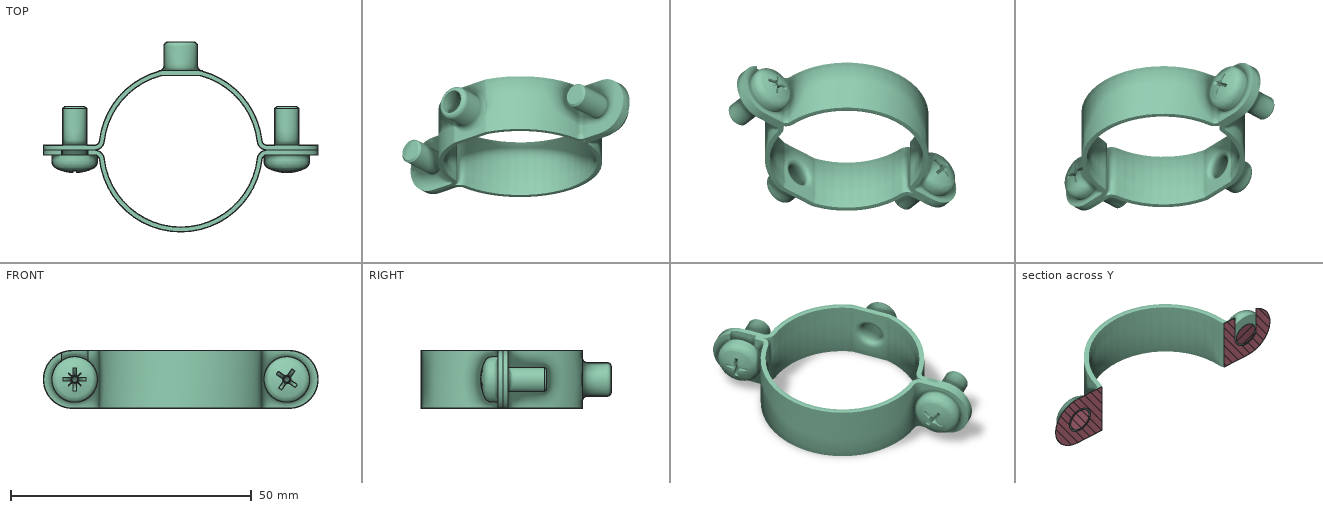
import cadquery as cq
import math


sheet = 1.0
band_height = 12.0
overall_length = 57.0
ring_radius = 17.0
ring_inner_radius = ring_radius - sheet
bend_inner = sheet
bend_outer = bend_inner + sheet

flat_outer = 16.5
flat_inner = flat_outer - sheet
boss_radius = 7.0 / 2
boss_bore_radius = 4.9 / 2
boss_end = 22.45
boss_end_fillet = 0.9
boss_root_fillet = 0.95

screw_offset = 22.0
shank_radius = 5.0 / 2
shank_tip_radius = 4.15 / 2
shank_end = 9.05
clearance_diameter = 5.5
head_radius = 9.45 / 2
head_height = 3.65
dome_radius = 8.55
head_fillet = 1.6
right_screw_turn = 35.0

arm_span = 4.8
arm_width = 0.75
arm_slope = 45.0
recess_depth = 2.05
socket_side = 1.7
socket_draft = 7.0
socket_point_depth = 2.5
mark_span = 3.65
mark_width = 0.1
mark_depth = 0.4

ORIGIN = (0.0, 0.0)
QUARTER = math.pi / 2
ear_bend_y = bend_outer
ear_bend_x = math.sqrt((ring_radius + bend_inner) ** 2 - ear_bend_y ** 2)
ear_angle = math.atan2(ear_bend_y, ear_bend_x)
flat_bend_y = flat_outer - bend_outer
flat_bend_x = math.sqrt((ring_radius - bend_outer) ** 2 - flat_bend_y ** 2)
flat_angle = math.atan2(flat_bend_y, flat_bend_x)


def on_circle(centre, radius, angle):
    """Point of a circle at an angle in radians."""
    return (centre[0] + radius * math.cos(angle), centre[1] + radius * math.sin(angle))


def arc_points(centre, radius, start, end):
    """Middle and end point of an arc, as threePointArc takes them."""
    return on_circle(centre, radius, (start + end) / 2), on_circle(centre, radius, end)


def half_band(has_flat):
    """Right-hand half of a band on the +Y side, with square ear ends."""
    flat_bend = (flat_bend_x, flat_bend_y)
    ear_bend = (ear_bend_x, ear_bend_y)
    ring_start = flat_angle if has_flat else QUARTER
    toward_ring = ear_angle + math.pi
    toward_ear = 3 * QUARTER

    if has_flat:
        outline = (
            cq.Workplane("XY")
            .moveTo(0, flat_outer)
            .lineTo(flat_bend_x, flat_outer)
            .threePointArc(*arc_points(flat_bend, bend_outer, QUARTER, flat_angle))
        )
    else:
        outline = cq.Workplane("XY").moveTo(0, ring_radius)
    outline = (
        outline
        .threePointArc(*arc_points(ORIGIN, ring_radius, ring_start, ear_angle))
        .threePointArc(*arc_points(ear_bend, bend_inner, toward_ring, toward_ear))
        .lineTo(overall_length / 2, sheet)
        .lineTo(overall_length / 2, 0)
        .lineTo(ear_bend_x, 0)
        .threePointArc(*arc_points(ear_bend, bend_outer, toward_ear, toward_ring))
        .threePointArc(*arc_points(ORIGIN, ring_inner_radius, ear_angle, ring_start))
    )
    if has_flat:
        outline = (
            outline
            .threePointArc(*arc_points(flat_bend, bend_inner, flat_angle, QUARTER))
            .lineTo(0, flat_inner)
        )
    return outline.close().extrude(band_height / 2, both=True)


def band(has_flat):
    """Whole band on the +Y side, with its ears rounded over the full band height."""
    half = half_band(has_flat)
    ear_rounding = (
        cq.Workplane("XZ")
        .slot2D(overall_length, band_height)
        .extrude(overall_length, both=True)
    )
    return half.union(half.mirror("YZ")).clean().intersect(ear_rounding)


def rod(radius, start, end):
    """Cylinder about the Y axis from Y = start to Y = end."""
    return cq.Workplane("XZ", origin=(0, start, 0)).circle(radius).extrude(start - end)


def boss():
    """Tube drawn out of the flat, with a flared root and a rounded end."""
    root_radius = boss_radius + boss_root_fillet
    end_radius = boss_radius - boss_end_fillet
    profile = (
        cq.Workplane("XY")
        .moveTo(0, flat_inner)
        .lineTo(root_radius, flat_inner)
        .lineTo(root_radius, flat_outer)
        .threePointArc(*arc_points(
            (root_radius, flat_outer + boss_root_fillet), boss_root_fillet, 3 * QUARTER, 2 * QUARTER))
        .lineTo(boss_radius, boss_end - boss_end_fillet)
        .threePointArc(*arc_points(
            (end_radius, boss_end - boss_end_fillet), boss_end_fillet, 0, QUARTER))
        .lineTo(0, boss_end)
        .close()
    )
    return profile.revolve(360, (0, 0), (0, 1))


def boss_bore():
    """Through bore of the boss, with a rounded mouth as wide as the boss."""
    mouth_fillet = boss_radius - boss_bore_radius
    profile = (
        cq.Workplane("XY")
        .moveTo(0, 0)
        .lineTo(boss_radius, 0)
        .lineTo(boss_radius, flat_inner)
        .threePointArc(*arc_points(
            (boss_radius, flat_inner + mouth_fillet), mouth_fillet, 3 * QUARTER, 2 * QUARTER))
        .lineTo(boss_bore_radius, boss_end)
        .lineTo(0, boss_end)
        .close()
    )
    return profile.revolve(360, (0, 0), (0, 1))


def make_upper_band():
    """Band with the boss and two close-fitting screw holes."""
    upper = band(True).union(boss()).cut(boss_bore())
    for side in (-1, 1):
        upper = upper.cut(rod(shank_radius, 0, sheet).translate((side * screw_offset, 0, 0)))
    return upper


def make_lower_band():
    """Band with a screw hole on the right and a hook slot, open upward, on the left."""
    lower = band(False).mirror("XZ")
    hole = rod(clearance_diameter / 2, -sheet, 0)
    slot = (
        cq.Workplane("XY", origin=(0, -sheet, 0))
        .box(clearance_diameter, sheet, band_height, centered=(True, False, False))
        .union(hole)
    )
    head_seat = rod(head_radius, -sheet - head_height, -sheet)
    lower = lower.cut(hole.translate((screw_offset, 0, 0)))
    lower = lower.cut(slot.translate((-screw_offset, 0, 0)))
    for side in (-1, 1):
        lower = lower.cut(head_seat.translate((side * screw_offset, 0, 0)))
    return lower


def about_screw(shape, turn):
    """Turn a shape by some degrees about a screw axis that lies on Y."""
    return shape.rotate((0, 0, 0), (0, 1, 0), turn)


def recess_socket():
    """Drafted square socket with a pointed bottom, corners in line with the arms."""
    bottom_radius = socket_side / 2 - recess_depth * math.tan(math.radians(socket_draft))
    socket = cq.Workplane("XZ").rect(socket_side, socket_side).extrude(-recess_depth, taper=socket_draft)
    point = (
        cq.Workplane("XY")
        .polyline([(0, recess_depth), (bottom_radius, recess_depth), (0, socket_point_depth)])
        .close()
        .revolve(360, (0, 0), (0, 1))
    )
    return about_screw(socket.union(point), 45)


def recess_arms():
    """Two opposite arms along X, whose floors slope from the tips toward the axis."""
    tip = arm_span / 2
    tip_depth = dome_radius - math.sqrt(dome_radius ** 2 - tip ** 2)
    slope = math.tan(math.radians(arm_slope))
    half_top = tip + tip_depth / slope
    half_bottom = half_top - recess_depth / slope
    return (
        cq.Workplane("XY")
        .moveTo(-half_top, 0)
        .lineTo(half_top, 0)
        .lineTo(half_bottom, recess_depth)
        .lineTo(-half_bottom, recess_depth)
        .close()
        .extrude(arm_width / 2, both=True)
    )


def cross_recess(has_marks):
    """Cross recess cutter, open toward -Y, with the top of the dome at Y = 0."""
    recess = recess_socket()
    mark = cq.Workplane("XZ").rect(mark_span, mark_width).extrude(-mark_depth)
    for turn in (0, 90):
        recess = recess.union(about_screw(recess_arms(), turn))
        if has_marks:
            recess = recess.union(about_screw(mark, turn + 45))
    return recess


def make_screw(has_marks):
    """Domed-head screw about the Y axis, with the underside of its head at Y = -sheet."""
    head_top = -sheet - head_height
    dome = cq.Workplane("XY").sphere(dome_radius).translate((0, head_top + dome_radius, 0))
    head = rod(head_radius, head_top, -sheet).intersect(dome)
    head = head.edges("<Y").fillet(head_fillet)
    shank = rod(shank_radius, -sheet, shank_end)
    shank = shank.faces(">Y").chamfer(shank_radius - shank_tip_radius)
    return head.union(shank).cut(cross_recess(has_marks).translate((0, head_top, 0)))


upper_band = make_upper_band()
lower_band = make_lower_band()
screws = []
for position, turn, has_marks in (
    (-screw_offset, 0.0, True),
    (screw_offset, right_screw_turn, False),
):
    screw = about_screw(make_screw(has_marks), turn)
    screws.append(screw.translate((position, 0, 0)))

result = cq.Compound.makeCompound(
    [upper_band.val(), lower_band.val(), *[screw.val() for screw in screws]]
)